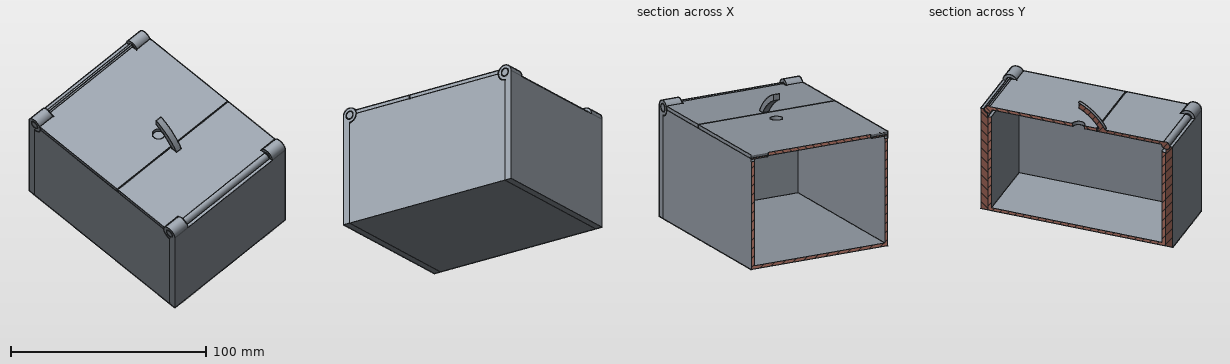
import cadquery as cq
import math

box_length = 98.0
box_width = 80.0
box_height = 60.0
box_wall = 2.0

hinge_x = box_length / 2
hinge_z = box_height
knuckle_radius = 4.0
knuckle_length = 9.5
hinge_clearance = 0.25
pin_radius = 2.0
bore_radius = pin_radius + hinge_clearance
barrel_radius = bore_radius
relief_radius = knuckle_radius + hinge_clearance

plate_thickness = knuckle_radius

lid_thickness = 2.0
lid_notch_length = 10.0
barrel_length = box_width - 2 * lid_notch_length
lid_top = box_height + lid_thickness
lid_gap = 0.5
left_lid_edge = 11.0
right_lid_edge = left_lid_edge + lid_gap

latch_hole_diameter = 6.5
latch_x = 1.0
hook_width = 3.5
hook_center_x = -11.0
hook_outer_radius = 31.0
hook_thickness = 3.0
hook_inner_radius = hook_outer_radius - hook_thickness
hook_tip_z = 75.02
hook_center_z = hook_tip_z - math.sqrt(hook_outer_radius**2 - (latch_x - hook_center_x) ** 2)


def block(x_min, x_max, width, z_min, z_max):
    """A box centred on Y."""
    return (
        cq.Workplane("XY")
        .box(x_max - x_min, width, z_max - z_min, centered=(False, True, False))
        .translate((x_min, 0, z_min))
    )


def hinge_cylinder(side, radius, length, y_center=0.0):
    """A cylinder along the hinge axis on the given side (-1 or +1)."""
    return (
        cq.Workplane("XZ", origin=(side * hinge_x, y_center + length / 2, hinge_z))
        .circle(radius)
        .extrude(length)
    )


def end_cylinders(side, radius, length):
    """Two hinge cylinders, one flush with each end of the box width."""
    y_center = (box_width - length) / 2
    return hinge_cylinder(side, radius, length, y_center).union(
        hinge_cylinder(side, radius, length, -y_center)
    )


def make_box():
    """Open-topped box, its upper edges relieved around both hinges."""
    body = block(-hinge_x, hinge_x, box_width, 0, box_height)
    inner_x = hinge_x - box_wall
    body = body.cut(block(-inner_x, inner_x, box_width - 2 * box_wall, box_wall, box_height))
    for side in (-1, 1):
        body = body.cut(hinge_cylinder(side, relief_radius, box_width))
    return body


def make_side_plate(side):
    """Outer plate with a bored knuckle at each end and a groove for the lid barrel."""
    outer_x = hinge_x + plate_thickness
    x_min, x_max = sorted((side * hinge_x, side * outer_x))
    plate = block(x_min, x_max, box_width, 0, box_height)
    plate = plate.union(end_cylinders(side, knuckle_radius, knuckle_length))
    return plate.cut(hinge_cylinder(side, bore_radius, box_width))


def make_barrel(side):
    """Thickened middle of the hinge rod, between the knuckles."""
    return hinge_cylinder(side, barrel_radius, barrel_length)


def make_half_barrel(side):
    """Barrel kept only on the lid side of the hinge axis."""
    x_min, x_max = sorted((side * hinge_x, side * (hinge_x - barrel_radius)))
    lid_side = block(x_min, x_max, barrel_length, hinge_z - barrel_radius, hinge_z + barrel_radius)
    return make_barrel(side).intersect(lid_side)


def make_lid(side, free_edge, barrel):
    """Flat lid joined to its barrel, with a pin that runs through both knuckles."""
    x_min, x_max = sorted((side * hinge_x, free_edge))
    lid = block(x_min, x_max, box_width, box_height, lid_top)
    lid = lid.cut(end_cylinders(side, relief_radius, lid_notch_length))
    lid = lid.union(barrel)
    return lid.union(hinge_cylinder(side, pin_radius, box_width))


def make_latch_hole():
    """Cutter for the hole through the left lid."""
    return (
        cq.Workplane("XY", origin=(latch_x, 0, box_height))
        .circle(latch_hole_diameter / 2)
        .extrude(lid_thickness)
    )


def make_hook():
    """Curved arm rising from the right lid, cut off vertically at its tip."""
    arm = (
        cq.Workplane("XZ", origin=(hook_center_x, hook_width / 2, hook_center_z))
        .circle(hook_outer_radius)
        .circle(hook_inner_radius)
        .extrude(hook_width)
    )
    kept = block(latch_x, hook_center_x + hook_outer_radius, hook_width, lid_top, hook_tip_z)
    return arm.intersect(kept)


box_body = make_box()
side_plates = [make_side_plate(side) for side in (-1, 1)]
left_lid = make_lid(-1, left_lid_edge, make_half_barrel(-1)).cut(make_latch_hole())
right_lid = make_lid(1, right_lid_edge, make_barrel(1)).union(make_hook())

result = cq.Compound.makeCompound(
    [box_body.val(), *[plate.val() for plate in side_plates], left_lid.val(), right_lid.val()]
)